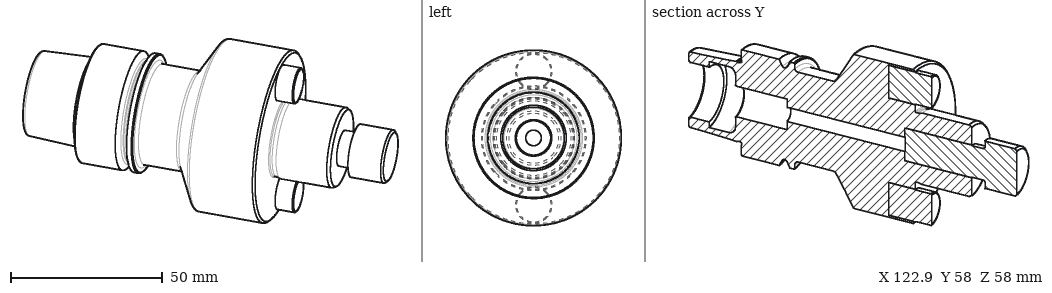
import cadquery as cq
import math

total_length = 122.9
edge_margin = 0.02

taper_mouth_radius = 14.3
taper_end_radius = 15.1
taper_end_x = 18.0
taper_mouth_fillet = 0.9

undercut_radius = 14.9
undercut_start_x = 18.5
undercut_fillet = 0.6
undercut_face_radius = 16.1
undercut_face_depth = 0.2

flange_radius = 20.0
flange_start_x = 19.7
flange_end_x = 39.8
flange_chamfer = 0.4
groove_centre_x = 35.9
groove_bottom_radius = 17.3
groove_bottom_width = 1.2
groove_top_width = 3.9
groove_fillet = 0.7

shoulder_angle = 60.0
neck_radius = 17.0
neck_flange_fillet = 1.1
neck_shoulder_fillet = 1.2
head_radius = 29.0
head_start_x = 61.7
head_end_x = 84.8
head_front_fillet = 0.9
head_back_chamfer = 0.7

pilot_radius = 13.5
pilot_relief_radius = 13.2
pilot_relief_end_x = 85.9
pilot_root_fillet = 0.4
pilot_lead_end_x = 87.4
pilot_end_x = 106.1
pilot_chamfer_length = 1.1
pilot_chamfer_height = 0.6

bore_radius = 10.2
bore_chamfer = 0.6
bore_entry_depth = 7.7
chamber_radius = 12.3
chamber_end_x = 17.5
chamber_fillet = 2.5
coolant_socket_radius = 5.7
coolant_socket_chamfer = 0.4
coolant_socket_end_x = 36.9
coolant_hole_radius = 2.6

screw_shank_radius = 6.0
screw_head_radius = 9.0
screw_head_length = 12.0
screw_head_chamfer = 0.7
screw_neck_fillet = 0.7
screw_length = 30.0
screw_head_x = total_length - screw_head_length
screw_tip_x = screw_head_x - screw_length

pin_radius = 6.0
pin_offset = 22.0
pin_height = 6.3
pin_seat_depth = 9.8
pin_chamfer = 0.4
pin_seat_x = head_end_x - pin_seat_depth


def axial_cylinder(radius, start_x, end_x, z=0.0):
    """Solid cylinder parallel to X."""
    return cq.Workplane("YZ", origin=(start_x, 0, z)).circle(radius).extrude(end_x - start_x)


def revolved(profile):
    """Turn an (x, radius) outline around the X axis."""
    return cq.Workplane("XY").polyline(profile).close().revolve(360, (0, 0, 0), (1, 0, 0))


def circle_edges(body, x, radius):
    """The full-circle edges around the X axis at one station and radius."""
    outside = radius + edge_margin
    return body.edges(
        cq.selectors.BoxSelector(
            (x - edge_margin, -outside, -outside), (x + edge_margin, outside, outside), boundingbox=True
        )
    ).filter(lambda edge: abs(edge.radius() - radius) < edge_margin)


def make_holder_blank():
    """Turned outside of the holder, from taper mouth to pilot end."""
    groove_half_bottom = groove_bottom_width / 2
    groove_half_top = groove_top_width / 2
    shoulder_length = (head_radius - neck_radius) / math.tan(math.radians(shoulder_angle))
    shoulder_start_x = head_start_x - shoulder_length
    undercut_end_x = flange_start_x + undercut_face_depth

    blank = revolved([
        (0, 0),
        (0, taper_mouth_radius),
        (taper_end_x, taper_end_radius),
        (undercut_start_x, undercut_radius),
        (undercut_end_x, undercut_radius),
        (flange_start_x, undercut_face_radius),
        (flange_start_x, flange_radius),
        (groove_centre_x - groove_half_top, flange_radius),
        (groove_centre_x - groove_half_bottom, groove_bottom_radius),
        (groove_centre_x + groove_half_bottom, groove_bottom_radius),
        (groove_centre_x + groove_half_top, flange_radius),
        (flange_end_x, flange_radius),
        (flange_end_x, neck_radius),
        (shoulder_start_x, neck_radius),
        (head_start_x, head_radius),
        (head_end_x, head_radius),
        (head_end_x, pilot_relief_radius),
        (pilot_relief_end_x, pilot_relief_radius),
        (pilot_lead_end_x, pilot_radius),
        (pilot_end_x - pilot_chamfer_length, pilot_radius),
        (pilot_end_x, pilot_radius - pilot_chamfer_height),
        (pilot_end_x, 0),
    ])

    fillets = [
        (0, taper_mouth_radius, taper_mouth_fillet),
        (undercut_end_x, undercut_radius, undercut_fillet),
        (groove_centre_x - groove_half_bottom, groove_bottom_radius, groove_fillet),
        (groove_centre_x + groove_half_bottom, groove_bottom_radius, groove_fillet),
        (flange_end_x, neck_radius, neck_flange_fillet),
        (shoulder_start_x, neck_radius, neck_shoulder_fillet),
        (head_start_x, head_radius, head_front_fillet),
        (head_end_x, pilot_relief_radius, pilot_root_fillet),
    ]
    for x, radius, fillet in fillets:
        blank = circle_edges(blank, x, radius).fillet(fillet)

    chamfers = [
        (flange_start_x, flange_radius, flange_chamfer),
        (flange_end_x, flange_radius, flange_chamfer),
        (head_end_x, head_radius, head_back_chamfer),
    ]
    for x, radius, chamfer in chamfers:
        blank = circle_edges(blank, x, radius).chamfer(chamfer)
    return blank


def make_bore():
    """Stepped cavity from the taper mouth through to the tip of the screw."""
    bore = revolved([
        (0, 0),
        (0, bore_radius + bore_chamfer),
        (bore_chamfer, bore_radius),
        (bore_entry_depth, bore_radius),
        (bore_entry_depth, chamber_radius),
        (chamber_end_x, chamber_radius),
        (chamber_end_x, coolant_socket_radius + coolant_socket_chamfer),
        (chamber_end_x + coolant_socket_chamfer, coolant_socket_radius),
        (coolant_socket_end_x, coolant_socket_radius),
        (coolant_socket_end_x, coolant_hole_radius),
        (screw_tip_x, coolant_hole_radius),
        (screw_tip_x, 0),
    ])
    return circle_edges(bore, chamber_end_x, chamber_radius).fillet(chamber_fillet)


def make_holder():
    """Holder with its bore, screw hole and pin seats."""
    holder = make_holder_blank().cut(make_bore())
    holder = holder.cut(axial_cylinder(screw_shank_radius, screw_tip_x, pilot_end_x))
    for side in (-1, 1):
        holder = holder.cut(axial_cylinder(pin_radius, pin_seat_x, head_end_x, side * pin_offset))
    return holder


def make_screw():
    """Cap screw with a rounded neck under its head."""
    shank = axial_cylinder(screw_shank_radius, screw_tip_x, screw_head_x)
    head = axial_cylinder(screw_head_radius, screw_head_x, total_length)
    head = head.faces(">X").edges().chamfer(screw_head_chamfer)
    return circle_edges(shank.union(head), screw_head_x, screw_shank_radius).fillet(screw_neck_fillet)


def make_drive_pin(z):
    """Round drive pin seated in the back face of the head."""
    pin = axial_cylinder(pin_radius, pin_seat_x, head_end_x + pin_height, z)
    return pin.faces(">X").edges().chamfer(pin_chamfer)


holder = make_holder()
screw = make_screw()
drive_pins = [make_drive_pin(side * pin_offset) for side in (-1, 1)]

result = cq.Compound.makeCompound([holder.val(), screw.val(), *[pin.val() for pin in drive_pins]])